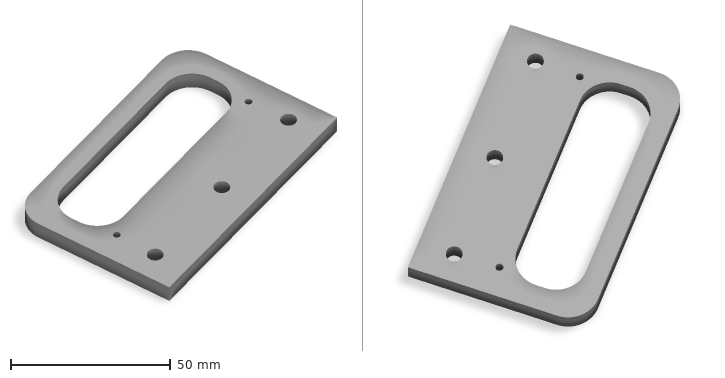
import cadquery as cq

plate_width = 60.0
plate_length = 92.7
plate_thickness = 6.0
corner_radius = 10.0

grip_width = 7.0
opening_width = 23.0
opening_length = 76.7
opening_radius = 10.0

mount_diameter = 5.3
mount_edge_distance = 12.0
mount_pitch = 36.8

pin_diameter = 2.5
pin_gap = 3.0
pin_spacing = plate_length - 2 * corner_radius

left_edge = -plate_width / 2
right_edge = plate_width / 2
opening_center_x = left_edge + grip_width + opening_width / 2
pin_x = left_edge + grip_width + opening_width + pin_gap
mount_x = right_edge - mount_edge_distance


def make_plate():
    """Flat plate with the two corners on the -X side rounded."""
    plate = cq.Workplane("XY").box(plate_width, plate_length, plate_thickness)
    return plate.edges("|Z and <X").fillet(corner_radius)


def cut_opening(body):
    """Through opening with rounded corners that leaves the grip bar."""
    cutter = (
        cq.Workplane("XY")
        .center(opening_center_x, 0)
        .rect(opening_width, opening_length)
        .extrude(plate_thickness, both=True)
        .edges("|Z")
        .fillet(opening_radius)
    )
    return body.cut(cutter)


def drill_column(body, x, y_places, diameter):
    """Through holes of one diameter in a column parallel to Y."""
    points = [(x, y) for y in y_places]
    return body.faces(">Z").workplane(origin=(0, 0, 0)).pushPoints(points).hole(diameter)


result = make_plate()
result = cut_opening(result)
result = drill_column(result, mount_x, (-mount_pitch, 0, mount_pitch), mount_diameter)
result = drill_column(result, pin_x, (-pin_spacing / 2, pin_spacing / 2), pin_diameter)